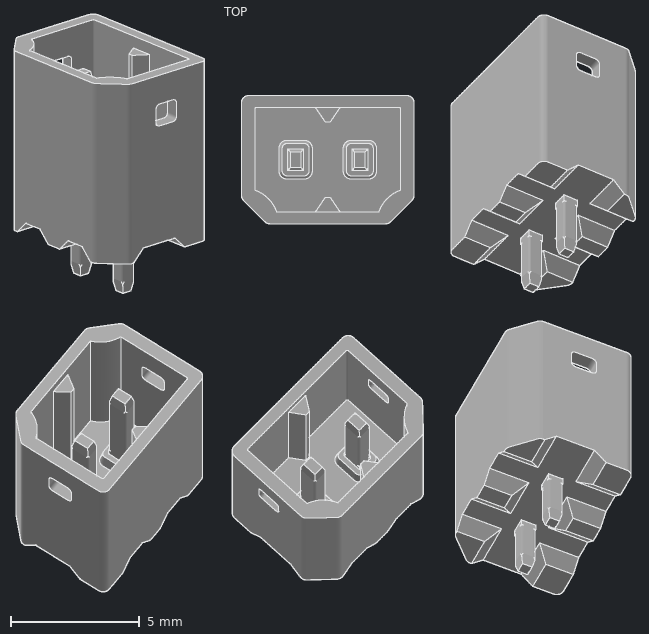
import cadquery as cq
import math


TOTAL_HEIGHT = 9.6

WIDTH = 6.72
DEPTH = 5.0
HEIGHT = 7.5
OUTLINE_CHAMFER = 1.0
OUTLINE_FILLET = 0.3

CAVITY_WIDTH = 5.65
CAVITY_DEPTH = 4.06
FLOOR_Z = 1.5
CAVITY_BACK_FILLET = 0.06
BULGE_LEG = 0.84
BULGE_RISE = 0.13

RIB_BASE = 0.96
RIB_TIP = 0.19
RIB_REACH = 0.57
RIB_TOP_GAP = 0.5

WINDOW_WIDTH = 1.07
WINDOW_HEIGHT = 0.91
WINDOW_FILLET = 0.19
WINDOW_Y = 0.36
WINDOW_DROP = 1.66
WINDOW_Z = HEIGHT - WINDOW_DROP

NOTCH_HEIGHT = 0.5
PIN_NOTCH_ROOF = 0.83
SIDE_NOTCH_ROOF = 1.63

PIN_PITCH = 2.5
PIN_WIDTH = 0.62
CONTACT_DEPTH = 0.83
PIN_EDGE_FILLET = 0.1
PIN_ROOT = 0.29
TIP_LENGTH = 0.52
TIP_INSET = 0.11
PIN_TOP_DROP = 1.2
PIN_TOP_Z = HEIGHT - PIN_TOP_DROP
PIN_BOTTOM_Z = HEIGHT - TOTAL_HEIGHT
PIN_POSITIONS = [-PIN_PITCH / 2, PIN_PITCH / 2]

PAD_WIDTH = 1.3
PAD_DEPTH = 1.51
PAD_FILLET = 0.32
PAD_HEIGHT = 0.5
PAD_INSET = 0.12
PAD_TOP_Z = FLOOR_Z + PAD_HEIGHT


def block(width, depth, z_low, z_high):
    """Box centred on the Z axis between two heights."""
    return cq.Workplane("XY").workplane(offset=z_low).rect(width, depth).extrude(z_high - z_low)


def housing_shell():
    shell = block(WIDTH, DEPTH, 0, HEIGHT)
    shell = shell.edges("|Z and <Y").chamfer(OUTLINE_CHAMFER)
    return shell.edges("|Z").fillet(OUTLINE_FILLET)


def cavity():
    half_x = CAVITY_WIDTH / 2
    half_y = CAVITY_DEPTH / 2
    arc_inset = BULGE_LEG / 2 + BULGE_RISE / math.sqrt(2)
    outline = (
        cq.Workplane("XY").workplane(offset=FLOOR_Z)
        .moveTo(-half_x, half_y)
        .lineTo(-half_x, -half_y + BULGE_LEG)
        .threePointArc((-half_x + arc_inset, -half_y + arc_inset), (-half_x + BULGE_LEG, -half_y))
        .lineTo(half_x - BULGE_LEG, -half_y)
        .threePointArc((half_x - arc_inset, -half_y + arc_inset), (half_x, -half_y + BULGE_LEG))
        .lineTo(half_x, half_y)
        .close()
    )
    space = outline.extrude(HEIGHT - FLOOR_Z)
    return space.edges("|Z and >Y").fillet(CAVITY_BACK_FILLET)


def guide_rib(side):
    """Trapezoidal rib on the +Y (side = 1) or -Y (side = -1) cavity wall."""
    wall_y = side * CAVITY_DEPTH / 2
    tip_y = wall_y - side * RIB_REACH
    corners = [
        (-RIB_BASE / 2, wall_y),
        (RIB_BASE / 2, wall_y),
        (RIB_TIP / 2, tip_y),
        (-RIB_TIP / 2, tip_y),
    ]
    rib_height = HEIGHT - RIB_TOP_GAP - FLOOR_Z
    return cq.Workplane("XY").workplane(offset=FLOOR_Z).polyline(corners).close().extrude(rib_height)


def latch_windows():
    window = cq.Workplane("XY").box(WIDTH, WINDOW_WIDTH, WINDOW_HEIGHT)
    window = window.edges("|X").fillet(WINDOW_FILLET)
    return window.translate((0, WINDOW_Y, WINDOW_Z))


def underside_notch(plane, roof_width, length):
    """Trapezoidal channel through the underside, normal to the given plane."""
    roof_half = roof_width / 2
    foot_half = roof_half + NOTCH_HEIGHT
    corners = [
        (-foot_half, 0),
        (foot_half, 0),
        (roof_half, NOTCH_HEIGHT),
        (-roof_half, NOTCH_HEIGHT),
    ]
    return cq.Workplane(plane).polyline(corners).close().extrude(length / 2, both=True)


def taper_angle(inset, length):
    return math.degrees(math.atan(inset / length))


def floor_pad():
    outline = cq.Sketch().rect(PAD_WIDTH, PAD_DEPTH).vertices().fillet(PAD_FILLET)
    floor = cq.Workplane("XY").workplane(offset=FLOOR_Z)
    return floor.placeSketch(outline).extrude(PAD_HEIGHT, taper=taper_angle(PAD_INSET, PAD_HEIGHT))


def tapered_tip(width, depth, z_start, direction):
    """Truncated pyramid narrowing upward (direction = 1) or downward (-1)."""
    plane = cq.Plane((0, 0, z_start), xDir=(1, 0, 0), normal=(0, 0, direction))
    return cq.Workplane(plane).rect(width, depth).extrude(TIP_LENGTH, taper=taper_angle(TIP_INSET, TIP_LENGTH))


def contact_blade():
    """Upper pin end, rounded along its edges and tapered at the tip."""
    tip_z = PIN_TOP_Z - TIP_LENGTH
    root_z = PAD_TOP_Z + PIN_ROOT
    envelope = block(PIN_WIDTH, CONTACT_DEPTH, root_z, tip_z)
    envelope = envelope.union(tapered_tip(PIN_WIDTH, CONTACT_DEPTH, tip_z, 1))
    rounded = block(PIN_WIDTH, CONTACT_DEPTH, root_z, PIN_TOP_Z).edges("|Z").fillet(PIN_EDGE_FILLET)
    root = block(PIN_WIDTH, CONTACT_DEPTH, FLOOR_Z, root_z)
    return root.union(rounded.intersect(envelope))


def solder_tail():
    """Lower pin end, square in section, rounded and tapered below its root."""
    tip_z = PIN_BOTTOM_Z + TIP_LENGTH
    root_z = NOTCH_HEIGHT - PIN_ROOT
    envelope = block(PIN_WIDTH, PIN_WIDTH, tip_z, root_z)
    envelope = envelope.union(tapered_tip(PIN_WIDTH, PIN_WIDTH, tip_z, -1))
    rounded = block(PIN_WIDTH, PIN_WIDTH, PIN_BOTTOM_Z, root_z).edges("|Z").fillet(PIN_EDGE_FILLET)
    root = block(PIN_WIDTH, PIN_WIDTH, root_z, FLOOR_Z)
    return root.union(rounded.intersect(envelope))


def make_pin(x):
    return contact_blade().union(solder_tail()).translate((x, 0, 0))


def make_housing(pins):
    body = housing_shell().cut(cavity())
    for side in (1, -1):
        body = body.union(guide_rib(side))
    body = body.cut(latch_windows())
    body = body.cut(underside_notch("YZ", SIDE_NOTCH_ROOF, WIDTH))
    for x in PIN_POSITIONS:
        body = body.cut(underside_notch("XZ", PIN_NOTCH_ROOF, DEPTH).translate((x, 0, 0)))
        body = body.union(floor_pad().translate((x, 0, 0)))
    for pin in pins:
        body = body.cut(pin)
    return body


pins = [make_pin(x) for x in PIN_POSITIONS]
housing = make_housing(pins)

result = cq.Compound.makeCompound([housing.solids().val(), *[pin.solids().val() for pin in pins]])